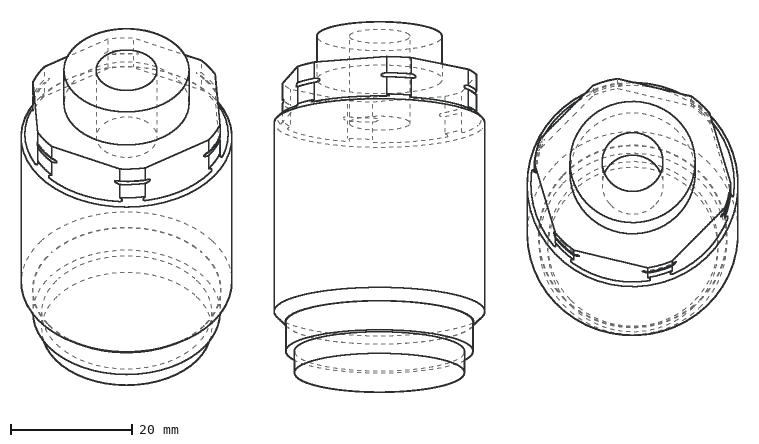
import cadquery as cq

total_height = 57.05
spigot_radius = 14.05
spigot_top = 3.65
collar_radius = 15.45
collar_top = 8.55
body_radius = 17.4
lower_chamfer = 1.8
upper_edge = 42.35
boss_radius = 10.3
boss_height = 7.3
bore_radius = 5.0

head_radius = 16.3
head_top = total_height - boss_height
shoulder_top = upper_edge + body_radius - head_radius
flat_count = 6
flat_distance = 15.05
flat_fillet = 0.45
flat_floor = shoulder_top - flat_fillet
first_flat_angle = 30.0

groove_radius = 0.35
groove_height = 46.65


def make_turned_body():
    profile = [
        (0, 0),
        (spigot_radius, 0),
        (spigot_radius, spigot_top),
        (collar_radius, spigot_top),
        (collar_radius, collar_top),
        (body_radius - lower_chamfer, collar_top),
        (body_radius, collar_top + lower_chamfer),
        (body_radius, upper_edge),
        (head_radius, shoulder_top),
        (head_radius, head_top),
        (boss_radius, head_top),
        (boss_radius, total_height),
        (0, total_height),
    ]
    return cq.Workplane("XZ").polyline(profile).close().revolve(360, (0, 0), (0, 1))


def make_flat_cutter():
    """Block outside one flat, with a rounded lower inner edge that leaves a fillet."""
    return (
        cq.Workplane("XY", origin=(flat_distance, 0, flat_floor))
        .box(body_radius, 2 * body_radius, head_top - flat_floor, centered=(False, True, False))
        .edges("<X and <Z")
        .fillet(flat_fillet)
    )


def cut_flats(part):
    cutter = make_flat_cutter()
    for index in range(flat_count):
        angle = first_flat_angle + index * 360 / flat_count
        part = part.cut(cutter.rotate((0, 0, 0), (0, 0, 1), angle))
    return part


def cut_corner_groove(part):
    ring = cq.Solid.makeTorus(head_radius, groove_radius, cq.Vector(0, 0, groove_height))
    return part.cut(cq.Workplane(ring))


def cut_bore(part):
    """Blind bore running from the boss face down to the shoulder's lower edge."""
    bore = cq.Workplane("XY", origin=(0, 0, upper_edge)).circle(bore_radius).extrude(total_height - upper_edge)
    return part.cut(bore)


result = cut_bore(cut_corner_groove(cut_flats(make_turned_body())))